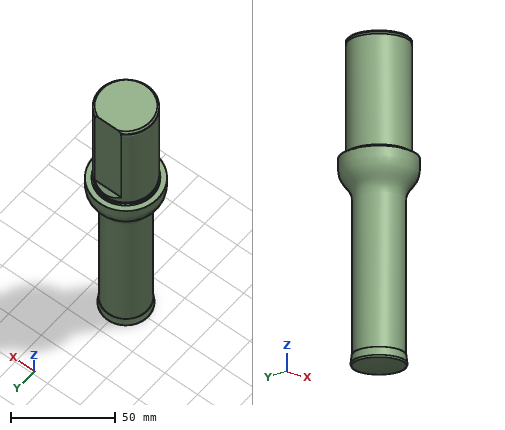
import cadquery as cq

total_length = 165.0
shank_length = 60.0
seat_height = total_length - shank_length
rim_bottom = 100.0
flare_bottom = 84.2
head_top = 5.6

shank_diameter = 31.99
relief_diameter = 31.5
collar_diameter = 39.5
neck_diameter = 26.1

rim_handle = 8.4
neck_handle = 7.0

rim_chamfer_height = 0.4
rim_chamfer_width = 0.1

head_top_diameter = 26.4
head_diameter = 27.5
face_diameter = 26.5
tip_diameter = 8.8
bevel_height = 1.3
face_height = 0.3

end_chamfer = 1.0
groove_depth = (shank_diameter - relief_diameter) / 2
groove_half_width = 1.0

relief_height = 1.6
relief_taper = 0.4
corner_width = 0.8
corner_height = 0.3

flat_offset = 13.7
flat_bottom = 110.9


def build_holder():
    """Revolved shank, collar and neck, with the clamping flat cut into the shank."""
    shank_radius = shank_diameter / 2
    relief_radius = relief_diameter / 2
    collar_radius = collar_diameter / 2
    neck_radius = neck_diameter / 2

    flare_curve = [
        (neck_radius, flare_bottom),
        (neck_radius, flare_bottom + neck_handle),
        (collar_radius, rim_bottom - rim_handle),
        (collar_radius, rim_bottom),
    ]

    groove_top = total_length - end_chamfer
    groove_middle = groove_top - groove_half_width
    groove_bottom = groove_middle - groove_half_width
    relief_top = seat_height + relief_height

    profile = (
        cq.Workplane("XZ")
        .moveTo(0, head_top)
        .lineTo(neck_radius, head_top)
        .lineTo(neck_radius, flare_bottom)
        .bezier(flare_curve)
        .lineTo(collar_radius, seat_height - rim_chamfer_height)
        .lineTo(collar_radius - rim_chamfer_width, seat_height)
        .lineTo(relief_radius + corner_width, seat_height)
        .lineTo(relief_radius, seat_height + corner_height)
        .lineTo(relief_radius, relief_top)
        .lineTo(shank_radius, relief_top + relief_taper)
        .lineTo(shank_radius, groove_bottom)
        .lineTo(shank_radius - groove_depth, groove_middle)
        .lineTo(shank_radius, groove_top)
        .lineTo(shank_radius - end_chamfer, total_length)
        .lineTo(0, total_length)
        .close()
    )
    body = profile.revolve(360, (0, 0, 0), (0, 1, 0))
    return body.cut(build_flat_cutter())


def build_flat_cutter():
    """Material above the clamping flat, ending below in a 45 degree ramp."""
    cut_depth = collar_diameter / 2 - flat_offset
    return (
        cq.Workplane("YZ")
        .moveTo(flat_offset, total_length)
        .lineTo(flat_offset, flat_bottom)
        .lineTo(flat_offset + cut_depth, flat_bottom - cut_depth)
        .lineTo(flat_offset + cut_depth, total_length)
        .close()
        .extrude(shank_diameter / 2, both=True)
    )


def build_head():
    """Cutting head: widens downward, then a bevel and a shallow cone with a flat tip."""
    return (
        cq.Workplane("XZ")
        .moveTo(0, 0)
        .lineTo(tip_diameter / 2, 0)
        .lineTo(face_diameter / 2, face_height)
        .lineTo(head_diameter / 2, bevel_height)
        .lineTo(head_top_diameter / 2, head_top)
        .lineTo(0, head_top)
        .close()
        .revolve(360, (0, 0, 0), (0, 1, 0))
    )


holder = build_holder()
head = build_head()
result = cq.Compound.makeCompound([holder.val(), head.val()])